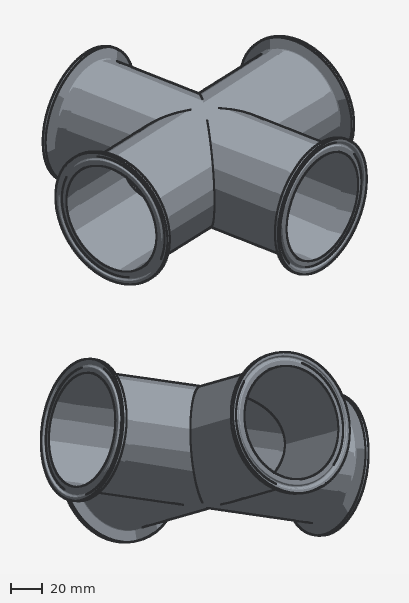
import cadquery as cq
import math

FACE_TO_FACE = 190.5
TUBE_DIAMETER = 76.2
BORE_DIAMETER = 73.0
FLANGE_DIAMETER = 90.9

FERRULE_LENGTH = 12.8
RIM_THICKNESS = 2.5
BACK_SLOPE = math.radians(20)
NECK_FILLET = 1.3

GROOVE_RADIUS = 41.62
GROOVE_BOTTOM_RADIUS = 1.1
GROOVE_LIP_RADIUS = 0.8
GROOVE_LIP_ANGLE = math.radians(70)

HALF_LENGTH = FACE_TO_FACE / 2
TUBE_RADIUS = TUBE_DIAMETER / 2
BORE_RADIUS = BORE_DIAMETER / 2
FLANGE_RADIUS = FLANGE_DIAMETER / 2
SEAM_X = HALF_LENGTH - FERRULE_LENGTH
TURN_AXIS = ((0, 0), (1, 0))


def groove_outline(sketch):
    """Continue an outline outward along the flange face, across the gasket groove."""
    def on_arc(radius, angle):
        return radius * math.sin(angle), radius * math.cos(angle)

    lip_out, lip_down = on_arc(GROOVE_LIP_RADIUS, GROOVE_LIP_ANGLE)
    lip_mid_out, lip_mid_down = on_arc(GROOVE_LIP_RADIUS, GROOVE_LIP_ANGLE / 2)
    bottom_out, bottom_rise = on_arc(GROOVE_BOTTOM_RADIUS, GROOVE_LIP_ANGLE)
    wall_x = HALF_LENGTH - (GROOVE_LIP_RADIUS - lip_down)
    bottom_x = wall_x - (GROOVE_BOTTOM_RADIUS - bottom_rise)
    lip_mid_x = HALF_LENGTH - (GROOVE_LIP_RADIUS - lip_mid_down)
    edge = bottom_out + lip_out
    lip_mid = edge - lip_mid_out
    return (
        sketch.lineTo(HALF_LENGTH, GROOVE_RADIUS - edge)
        .threePointArc((lip_mid_x, GROOVE_RADIUS - lip_mid), (wall_x, GROOVE_RADIUS - bottom_out))
        .threePointArc((bottom_x, GROOVE_RADIUS), (wall_x, GROOVE_RADIUS + bottom_out))
        .threePointArc((lip_mid_x, GROOVE_RADIUS + lip_mid), (HALF_LENGTH, GROOVE_RADIUS + edge))
    )


def make_ferrule():
    """Ferrule turned about X, with its flange face at the +X end."""
    rim_x = HALF_LENGTH - RIM_THICKNESS
    back_x = rim_x - (FLANGE_RADIUS - TUBE_RADIUS) * math.tan(BACK_SLOPE)
    tangent = NECK_FILLET * math.tan((math.pi / 2 - BACK_SLOPE) / 2)
    fillet_x = back_x - tangent
    fillet_center_r = TUBE_RADIUS + NECK_FILLET
    fillet_start = (
        back_x + tangent * math.sin(BACK_SLOPE),
        TUBE_RADIUS + tangent * math.cos(BACK_SLOPE),
    )
    mid_angle = (math.pi / 2 - BACK_SLOPE) / 2
    fillet_middle = (
        fillet_x + NECK_FILLET * math.sin(mid_angle),
        fillet_center_r - NECK_FILLET * math.cos(mid_angle),
    )
    outline = cq.Workplane("XY").moveTo(SEAM_X, BORE_RADIUS).lineTo(HALF_LENGTH, BORE_RADIUS)
    outline = (
        groove_outline(outline)
        .lineTo(HALF_LENGTH, FLANGE_RADIUS)
        .lineTo(rim_x, FLANGE_RADIUS)
        .lineTo(*fillet_start)
        .threePointArc(fillet_middle, (fillet_x, TUBE_RADIUS))
        .lineTo(SEAM_X, TUBE_RADIUS)
        .close()
    )
    return outline.revolve(360, *TURN_AXIS)


def make_cross(radius):
    """Two equal cylinders crossing at the origin, along X and along Y."""
    along_x = cq.Workplane("YZ").circle(radius).extrude(SEAM_X, both=True)
    along_y = cq.Workplane("XZ").circle(radius).extrude(SEAM_X, both=True)
    return along_x.union(along_y)


result = make_cross(TUBE_RADIUS).cut(make_cross(BORE_RADIUS))
ferrule = make_ferrule()
for turn in (0, 90, 180, 270):
    turned = ferrule.rotate((0, 0, 0), (0, 0, 1), turn)
    result = result.union(turned, clean=False)